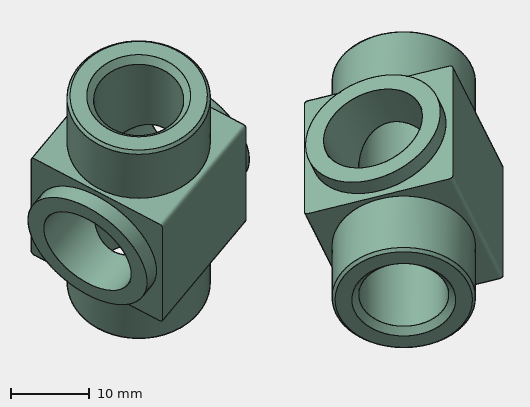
import cadquery as cq

block_x = 20.0
block_y = 19.23
block_z = block_x
block_edge_radius = 0.5

pipe_length = 39.0
pipe_diameter = 18.2
pipe_bore = 11.43
pipe_rim_chamfer = 0.4
pipe_mouth_diameter = 13.2
pipe_mouth_chamfer = (pipe_mouth_diameter - pipe_bore) / 2

collar_length = 23.6
collar_diameter = 18.15
collar_bore = 13.3


def cylinder_z(diameter, length):
    """Cylinder along Z, centred on the origin."""
    return cq.Workplane("XY").circle(diameter / 2).extrude(length / 2, both=True)


def cylinder_y(diameter, length):
    """Cylinder along Y, centred on the origin."""
    return cq.Workplane("XZ").circle(diameter / 2).extrude(length / 2, both=True)


def central_block():
    """Block with its four edges along Y rounded."""
    return cq.Workplane("XY").box(block_x, block_y, block_z).edges("|Y").fillet(block_edge_radius)


def pipe_cutter():
    """Vertical bore that widens at 45 degrees to both mouths."""
    bore_radius = pipe_bore / 2
    mouth_radius = pipe_mouth_diameter / 2
    end_z = pipe_length / 2
    throat_z = end_z - pipe_mouth_chamfer
    return (
        cq.Workplane("XZ")
        .moveTo(0, -end_z)
        .lineTo(mouth_radius, -end_z)
        .lineTo(bore_radius, -throat_z)
        .lineTo(bore_radius, throat_z)
        .lineTo(mouth_radius, end_z)
        .lineTo(0, end_z)
        .close()
        .revolve(360, (0, 0, 0), (0, 1, 0))
    )


pipe = cylinder_z(pipe_diameter, pipe_length).edges("%CIRCLE").chamfer(pipe_rim_chamfer)
collar = cylinder_y(collar_diameter, collar_length)
outer_body = central_block().union(pipe).union(collar)

result = outer_body.cut(pipe_cutter()).cut(cylinder_y(collar_bore, collar_length))